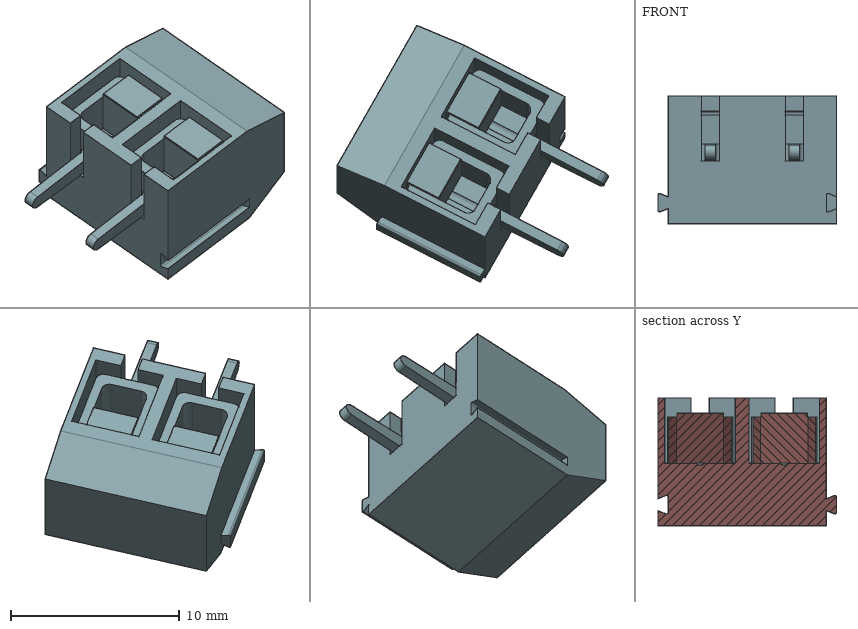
import cadquery as cq
import math

pitch = 5.0
housing_width = 2 * pitch
housing_depth = 10.0
housing_height = 7.6
rear_bottom_z = 1.72
rear_top_z = 6.8
bottom_bevel_y = 7.0
top_bevel_y = 6.8

dovetail_reach = 0.61
dovetail_z = 1.26
dovetail_root_half = 0.35
dovetail_angle = 22
dovetail_edge_radius = 0.1

pole_centers = [pitch / 2, 3 * pitch / 2]
pocket_width = 4.18
pocket_front_y = 0.88
pocket_rear_y = 5.88
floor_z = 3.73
slot_width = 1.07
groove_width = 0.52
groove_depth = 0.11

cage_width = 3.9
cage_rear_y = 5.7
cage_top_z = 6.49
cage_corner_radius = 0.48
opening_width = 2.77
opening_front_y = 1.53
opening_corner_radius = 0.48

block_front_y = 3.7
block_top_z = 6.7
block_edge_chamfer = 0.04
flange_width = cage_width - 2 * cage_corner_radius

pin_tip_y = -4.13
pin_width = 0.62
pin_root_height = 1.02
pin_end_height = 0.85
pin_flare_radius = (slot_width - pin_width) / 2
pin_center_z = floor_z + pin_root_height / 2


def box(x_center, width, y_front, y_rear, z_bottom, z_top):
    """A box centred on x_center, between the given y and z limits."""
    return cq.Workplane("XY").box(
        width, y_rear - y_front, z_top - z_bottom, centered=(True, False, False)
    ).translate((x_center, y_front, z_bottom))


def dovetail(root_x):
    """A dovetail bar that widens toward -X, starting at root_x."""
    tip_half = dovetail_root_half + dovetail_reach * math.tan(math.radians(dovetail_angle))
    bar = (
        cq.Workplane("XZ")
        .polyline([
            (root_x, dovetail_z - dovetail_root_half),
            (root_x, dovetail_z + dovetail_root_half),
            (root_x - dovetail_reach, dovetail_z + tip_half),
            (root_x - dovetail_reach, dovetail_z - tip_half),
        ])
        .close()
        .extrude(-bottom_bevel_y)
    )
    return bar.edges("|Y and <X").fillet(dovetail_edge_radius)


def make_housing():
    """The bevelled housing with its dovetail rail and groove, pockets and front slots."""
    housing = (
        cq.Workplane("YZ")
        .polyline([
            (0, 0),
            (bottom_bevel_y, 0),
            (housing_depth, rear_bottom_z),
            (housing_depth, rear_top_z),
            (top_bevel_y, housing_height),
            (0, housing_height),
        ])
        .close()
        .extrude(housing_width)
    )
    housing = housing.union(dovetail(0)).cut(dovetail(housing_width))
    for x in pole_centers:
        pocket = box(x, pocket_width, pocket_front_y, pocket_rear_y, floor_z, housing_height)
        slot = box(x, slot_width, 0, pocket_front_y, floor_z, housing_height)
        groove = (
            cq.Workplane("XZ", origin=(x, pocket_front_y, floor_z))
            .moveTo(-groove_width / 2, 0)
            .threePointArc((0, -groove_depth), (groove_width / 2, 0))
            .close()
            .extrude(pocket_front_y - pocket_rear_y)
        )
        housing = housing.cut(pocket).cut(slot).cut(groove)
    return housing


def make_cage(x):
    """A cage standing on the pocket floor, with a wire opening that runs out at its rear."""
    cage = box(x, cage_width, pocket_front_y, cage_rear_y, floor_z, cage_top_z)
    cage = cage.edges("|Z").fillet(cage_corner_radius)
    opening = box(x, opening_width, opening_front_y, cage_rear_y, floor_z, cage_top_z)
    opening = opening.edges("|Z and <Y").fillet(opening_corner_radius)
    return cage.cut(opening)


def make_clamp_block(x):
    """A block between the cage walls, with a flange between the cage and the pocket's rear wall."""
    block = box(x, opening_width, block_front_y, pocket_rear_y, floor_z, block_top_z)
    block = block.edges(">Z and <Y").chamfer(block_edge_chamfer)
    flange = box(x, flange_width, cage_rear_y, pocket_rear_y, floor_z, cage_top_z)
    return block.union(flange)


def make_pin(x):
    """A flat pin that tapers in height toward a rounded tip and flares in width at its root."""
    tip_radius = pin_end_height / 2
    tip_start_y = pin_tip_y + tip_radius
    side = (
        cq.Workplane("YZ", origin=(x - slot_width / 2, 0, pin_center_z))
        .moveTo(pocket_front_y, -pin_root_height / 2)
        .lineTo(pocket_front_y, pin_root_height / 2)
        .lineTo(tip_start_y, tip_radius)
        .threePointArc((pin_tip_y, 0), (tip_start_y, -tip_radius))
        .close()
        .extrude(slot_width)
    )
    half_width = pin_width / 2
    half_flare = slot_width / 2
    flare_start_y = pocket_front_y - pin_flare_radius
    bend = pin_flare_radius * (1 - math.sqrt(0.5))
    plan = (
        cq.Workplane("XY", origin=(x, 0, floor_z))
        .moveTo(-half_width, pin_tip_y)
        .lineTo(-half_width, flare_start_y)
        .threePointArc((-half_width - bend, pocket_front_y - bend), (-half_flare, pocket_front_y))
        .lineTo(half_flare, pocket_front_y)
        .threePointArc((half_width + bend, pocket_front_y - bend), (half_width, flare_start_y))
        .lineTo(half_width, pin_tip_y)
        .close()
        .extrude(pin_root_height)
    )
    return side.intersect(plan)


housing = make_housing()
cages = [make_cage(x) for x in pole_centers]
clamp_blocks = [make_clamp_block(x) for x in pole_centers]
pins = [make_pin(x) for x in pole_centers]

bodies = [housing] + cages + clamp_blocks + pins
result = cq.Compound.makeCompound([body.solids().val() for body in bodies])